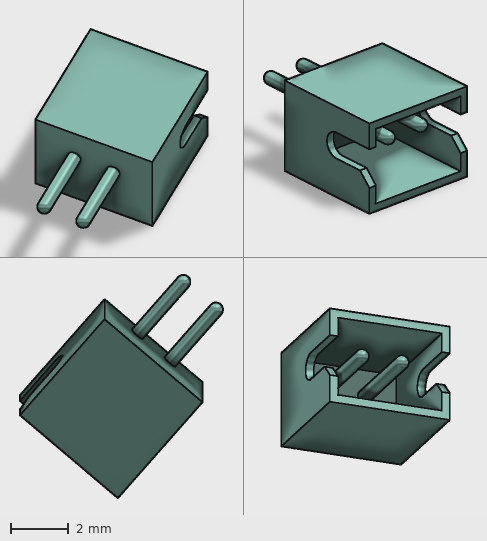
import cadquery as cq

total_length = 7.2
housing_width = 4.5
housing_depth = 4.5
housing_height = 3.5
wall = 0.3

pin_diameter = 0.5
pin_radius = pin_diameter / 2
pin_pitch = 1.5
pin_height = 2.2
pin_recess = 0.5
pin_front = housing_depth - total_length
pin_rear = housing_depth - pin_recess

slot_bottom = 1.5
slot_top = 2.5
slot_radius = (slot_top - slot_bottom) / 2
slot_end = housing_depth / 2
lead_in = 0.5


def make_housing():
    """Thin-walled box, open at the rear."""
    outer = cq.Workplane("XY").box(
        housing_width, housing_depth, housing_height, centered=(True, False, False)
    )
    cavity = (
        cq.Workplane("XY")
        .box(
            housing_width - 2 * wall,
            housing_depth - wall,
            housing_height - 2 * wall,
            centered=(True, False, False),
        )
        .translate((0, wall, wall))
    )
    return outer.cut(cavity)


def make_side_slot():
    """Round-ended slot with a sloped lead-in at its lower rear corner."""
    arc_center = slot_end + slot_radius
    return (
        cq.Workplane("YZ")
        .moveTo(housing_depth, slot_top)
        .lineTo(arc_center, slot_top)
        .threePointArc((slot_end, slot_bottom + slot_radius), (arc_center, slot_bottom))
        .lineTo(housing_depth - lead_in, slot_bottom)
        .lineTo(housing_depth, slot_bottom - lead_in)
        .close()
        .extrude(housing_width / 2, both=True)
    )


def make_pin(x):
    """Pin along Y with hemispherical ends."""
    front_center = pin_front + pin_radius
    rear_center = pin_rear - pin_radius
    pin = cq.Workplane(
        cq.Solid.makeCylinder(
            pin_radius,
            rear_center - front_center,
            cq.Vector(x, front_center, pin_height),
            cq.Vector(0, 1, 0),
        )
    )
    for y in (front_center, rear_center):
        pin = pin.union(cq.Workplane("XY").sphere(pin_radius).translate((x, y, pin_height)))
    return pin


result = make_housing().cut(make_side_slot())
for side in (-1, 1):
    result = result.union(make_pin(side * pin_pitch / 2))